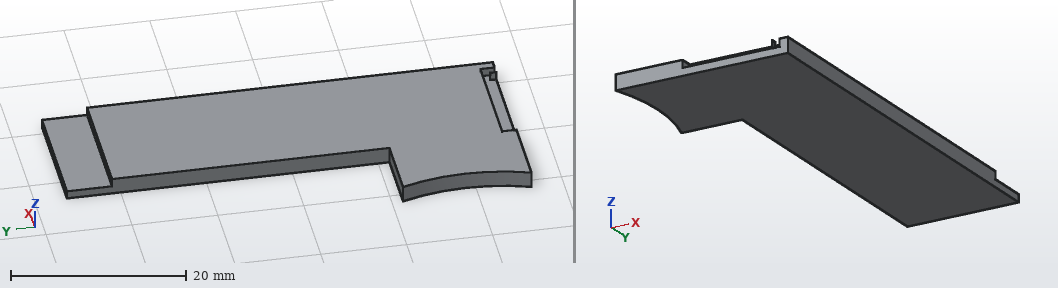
import cadquery as cq

length = 52.5
width = 22.75
thickness = 2.0

arm_width = 14.7
arm_left = width - arm_width
foot_length = 14.95
foot_arc_depth = 1.25

tongue_length = 5.25
tongue_thickness = thickness / 2

pocket_width = 12.8
pocket_depth_y = 1.7
pocket_floor = thickness / 2
pocket_side_margin = 1.1
pocket_right = width - pocket_side_margin
pocket_height = thickness - pocket_floor

fin_thickness = 0.05
fin_length = 0.75
fin_gap = 0.95


def corner_box(x, y, z, size_x, size_y, size_z):
    """Box placed by its lowest corner."""
    return cq.Workplane("XY").box(size_x, size_y, size_z, centered=False).translate((x, y, z))


def make_plate():
    return (
        cq.Workplane("XY")
        .moveTo(0, 0)
        .lineTo(width, 0)
        .lineTo(width, length)
        .lineTo(arm_left, length)
        .lineTo(arm_left, foot_length)
        .lineTo(0, foot_length)
        .threePointArc((foot_arc_depth, foot_length / 2), (0, 0))
        .close()
        .extrude(thickness)
    )


def make_tongue_cut():
    return corner_box(
        arm_left, length - tongue_length, tongue_thickness,
        arm_width, tongue_length, thickness - tongue_thickness,
    )


def make_pocket():
    return corner_box(
        pocket_right - pocket_width, 0, pocket_floor,
        pocket_width, pocket_depth_y, pocket_height,
    )


def make_fin():
    fin_left = pocket_right - fin_gap - fin_thickness
    return corner_box(fin_left, 0, pocket_floor, fin_thickness, fin_length, pocket_height)


result = make_plate().cut(make_tongue_cut()).cut(make_pocket()).union(make_fin())